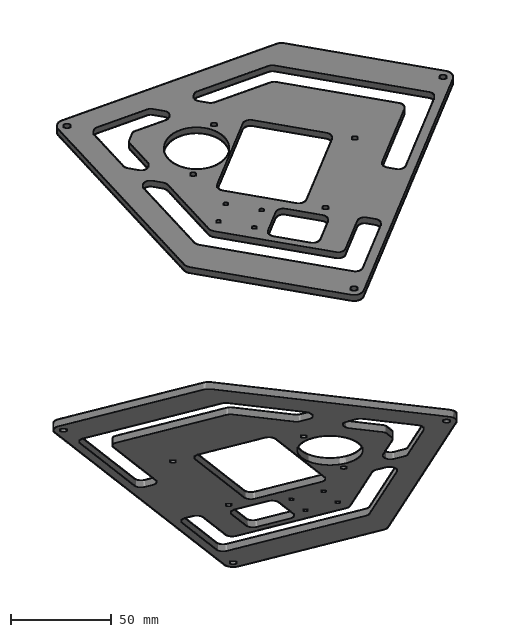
import cadquery as cq
import math

side = 180.0
half = side / 2
thickness = 4.0
corner_radius = 5.0
shoulder_x = 0.2

arc_centre_x = -half + corner_radius
shoulder_run = shoulder_x - arc_centre_x
slant_angle = math.atan2(half, shoulder_run) - math.asin(corner_radius / math.hypot(half, shoulder_run))
slope = math.tan(slant_angle)
tip_x = shoulder_x - half / slope

slot_end_radius = 3.8
slot_bend_radius = 4.3
slot_width = 12.0
slot_outer_x = 85.0
slot_outer_y = 72.0
slot_inner_x = slot_outer_x - slot_width
slot_inner_y = slot_outer_y - slot_width
slot_outer_tip_x = -73.5
slot_inner_tip_x = -56.9
upper_slot_left_x = -30.6
upper_slot_slant_end_y = 35.6
upper_slot_right_end_y = 10.0
lower_slot_left_x = -36.9
lower_slot_end_y = 30.0

chevron_left_x = -71.3
chevron_inner_x = -52.4
chevron_right_x = -38.0
chevron_half_height = 23.8
chevron_outer_tip_x = -73.3
chevron_inner_tip_x = -56.5
chevron_radius = 3.5

main_window_x = 21.5
main_window_size = (45.7, 56.5)
small_window_centre = (45.5, -45.0)
small_window_size = (26.8, 22.1)
window_radius = 4.0
round_window_x = -18.5
round_window_diameter = 32.4

mount_hole_diameter = 3.6
frame_hole_diameter = 3.0
board_hole_diameter = 2.3
mount_hole_offset = half - corner_radius
rear_frame_hole = (55.0, 27.9)
front_frame_hole = (-15.0, 20.0)
board_hole_xs = (6.7, 25.0)
board_hole_ys = (-38.0, -52.0)


def slant_y(x, tip):
    """Height at x of the slanted line that crosses Y = 0 at tip."""
    return slope * (x - tip)


def slant_x(y, tip):
    """Position in X where the slanted line from tip reaches height y."""
    return tip + y / slope


def prism(points):
    """Extrude a closed outline to the thickness of the plate."""
    return cq.Workplane("XY").polyline(points).close().extrude(thickness)


def round_corner(body, point, radius):
    """Fillet the upright edge that stands at a point of the outline."""
    x, y = point
    reach = 0.2
    box = cq.selectors.BoxSelector((x - reach, y - reach, -reach), (x + reach, y + reach, thickness + reach))
    return body.edges("|Z").edges(box).fillet(radius)


def plate():
    outline = [(tip_x, 0), (shoulder_x, -half), (half, -half), (half, half), (shoulder_x, half)]
    return prism(outline).edges("|Z").fillet(corner_radius)


def side_slot(left_x, slant_end_y, right_end_y):
    """Slot along a slanted, a straight and the rear edge, on the +Y side."""
    corners = [
        ((left_x, slant_end_y), slot_end_radius),
        ((left_x, slant_y(left_x, slot_outer_tip_x)), slot_end_radius),
        ((slant_x(slot_outer_y, slot_outer_tip_x), slot_outer_y), slot_bend_radius),
        ((slot_outer_x, slot_outer_y), slot_end_radius),
        ((slot_outer_x, right_end_y), slot_end_radius),
        ((slot_inner_x, right_end_y), slot_end_radius),
        ((slot_inner_x, slot_inner_y), slot_end_radius),
        ((slant_x(slot_inner_y, slot_inner_tip_x), slot_inner_y), slot_bend_radius),
        ((slant_x(slant_end_y, slot_inner_tip_x), slant_end_y), slot_bend_radius),
    ]
    slot = prism([point for point, _ in corners])
    for point, radius in corners:
        slot = round_corner(slot, point, radius)
    return slot


def chevron_slot():
    upper_wall = [
        (chevron_left_x, slant_y(chevron_left_x, chevron_outer_tip_x)),
        (slant_x(chevron_half_height, chevron_outer_tip_x), chevron_half_height),
        (chevron_right_x, chevron_half_height),
        (chevron_right_x, slant_y(chevron_right_x, chevron_inner_tip_x)),
        (chevron_inner_x, slant_y(chevron_inner_x, chevron_inner_tip_x)),
    ]
    lower_wall = [(x, -y) for x, y in reversed(upper_wall)]
    return prism(upper_wall + lower_wall).edges("|Z").fillet(chevron_radius)


def window(centre, size):
    body = cq.Workplane("XY").center(*centre).rect(*size).extrude(thickness)
    return body.edges("|Z").fillet(window_radius)


def holes(points, diameter):
    return cq.Workplane("XY").pushPoints(points).circle(diameter / 2).extrude(thickness)


def mirrored(point):
    """The point and its mirror image across the X axis."""
    x, y = point
    return [(x, y), (x, -y)]


mount_holes = [(-mount_hole_offset, 0)] + mirrored((mount_hole_offset, mount_hole_offset))
frame_holes = mirrored(rear_frame_hole) + mirrored(front_frame_hole)
board_holes = [(x, y) for x in board_hole_xs for y in board_hole_ys]

cutouts = [
    side_slot(upper_slot_left_x, upper_slot_slant_end_y, upper_slot_right_end_y),
    side_slot(lower_slot_left_x, lower_slot_end_y, lower_slot_end_y).mirror("XZ"),
    chevron_slot(),
    window((main_window_x, 0), main_window_size),
    window(small_window_centre, small_window_size),
    holes([(round_window_x, 0)], round_window_diameter),
    holes(mount_holes, mount_hole_diameter),
    holes(frame_holes, frame_hole_diameter),
    holes(board_holes, board_hole_diameter),
]

result = plate()
for cutout in cutouts:
    result = result.cut(cutout)